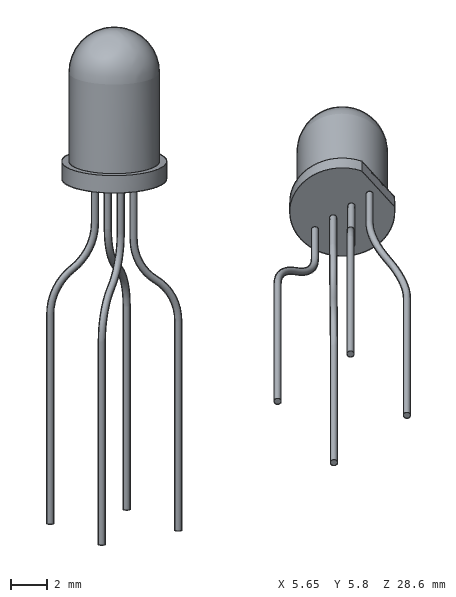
import cadquery as cq
import math

total_height = 28.6
lens_diameter = 5.0
lens_radius = lens_diameter / 2
flange_diameter = 5.8
flange_height = 1.0

lead_diameter = 0.4
lead_length = 20.0
spread = 2.55
lead_pitch = spread / 2
straight_length = 3.0
bend_radius = 3.0

dome_base = total_height - lead_length - lens_radius


def make_lens():
    """Domed cylinder on a flange whose -X side is cut flat, flush with the cylinder."""
    profile = (
        cq.Workplane("XZ")
        .lineTo(lens_radius, 0)
        .lineTo(lens_radius, dome_base)
        .radiusArc((0, dome_base + lens_radius), -lens_radius)
        .close()
    )
    body = profile.revolve(360, (0, 0, 0), (0, 1, 0))
    flange = cq.Workplane("XY").circle(flange_diameter / 2).extrude(flange_height)
    flat_keep = (
        cq.Workplane("XY")
        .box(flange_diameter, flange_diameter, flange_height, centered=(False, True, False))
        .translate((-lens_radius, 0, 0))
    )
    return body.union(flange.intersect(flat_keep))


def make_lead(start_x, tip_x, tip_y):
    """Round wire that runs down, shifts sideways through an S-bend and runs down to its tip."""
    shift_x = tip_x - start_x
    shift = math.hypot(shift_x, tip_y)
    bend_angle = math.acos(1 - shift / (2 * bend_radius))
    half_drop = bend_radius * math.sin(bend_angle)

    mid_shift = bend_radius * (1 - math.cos(bend_angle / 2))
    mid_drop = bend_radius * math.sin(bend_angle / 2)
    bend_start = -straight_length
    bend_end = bend_start - 2 * half_drop

    bend_plane = cq.Plane(
        origin=(start_x, 0, 0),
        xDir=(shift_x, tip_y, 0),
        normal=(tip_y, -shift_x, 0),
    )
    path = (
        cq.Workplane(bend_plane)
        .lineTo(0, bend_start)
        .threePointArc((mid_shift, bend_start - mid_drop), (shift / 2, bend_start - half_drop))
        .threePointArc((shift - mid_shift, bend_end + mid_drop), (shift, bend_end))
        .lineTo(shift, -lead_length)
    )
    section = cq.Workplane("XY", origin=(start_x, 0, 0)).circle(lead_diameter / 2)
    return section.sweep(path)


result = make_lens()
for side in (-1, 1):
    outer_start = side * 1.5 * lead_pitch
    inner_start = side * 0.5 * lead_pitch
    tip = side * spread
    result = result.union(make_lead(outer_start, tip, tip))
    result = result.union(make_lead(inner_start, tip, -tip))